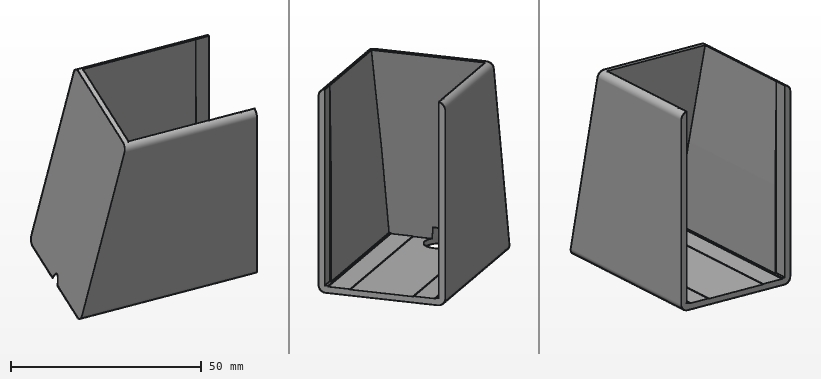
import cadquery as cq
import math

width = 35.3
height = 56.0
bottom_depth = 50.0
top_depth = 37.1
corner_radius = 2.0

cavity_width = 31.7
pad_top_rise = 0.03
pad_rise = 0.45
pad_crest = 26.9
front_wall = 1.45
floor = 1.7
rear_margin = 3.8

ledge_inset = 2.7
ledge_rise = 0.2
channel_inset = 8.85
channel_drop = 0.1

hole_radius = 4.5
breakout_width = 3.3
breakout_apex = 2.45
hole_height = 5.05

front_foot = -bottom_depth / 2
back = bottom_depth / 2
front_top = back - top_depth
front_slope = (front_top - front_foot) / height


def side_profile(offset):
    """Wedge outline in YZ, its front edge moved back by offset."""
    return (
        cq.Workplane("YZ")
        .polyline([
            (front_foot + offset, 0),
            (back, 0),
            (back, height),
            (front_top + offset, height),
        ])
        .close()
    )


def outer_body():
    """Round-cornered block trimmed to the leaning front."""
    block = (
        cq.Workplane("XY")
        .box(width, bottom_depth, height, centered=(True, True, False))
        .edges("|Y")
        .fillet(corner_radius)
    )
    return block.intersect(side_profile(0).extrude(width / 2, both=True))


def mirrored_prism(right_half, near, far):
    """XZ section, symmetric about X = 0, swept between two Y positions."""
    left_half = [(-x, z) for x, z in reversed(right_half)]
    section = cq.Workplane("XZ", origin=(0, near, 0)).polyline(right_half + left_half).close()
    return section.extrude(near - far)


def cavity():
    """Interior, open at the top and back, narrowed by pads on the side walls ahead of the rear margin."""
    side = cavity_width / 2
    pad = side - pad_rise
    ledge = width / 2 - ledge_inset
    channel = width / 2 - channel_inset
    strip_top = floor + channel_drop
    ledge_top = strip_top + ledge_rise

    right_floor = [
        (channel, floor),
        (channel, strip_top),
        (ledge, strip_top),
        (ledge, ledge_top),
    ]
    padded_side = [(pad, ledge_top), (pad, pad_crest), (side - pad_top_rise, height)]
    plain_side = [(side, ledge_top), (side, height)]

    padded = mirrored_prism(right_floor + padded_side, front_foot, back)
    plain = mirrored_prism(right_floor + plain_side, back - rear_margin, back)
    inner_wedge = side_profile(front_wall).extrude(width / 2, both=True)
    return padded.union(plain).intersect(inner_wedge)


def cable_hole():
    """Oblique round cutter that opens a rounded arch at the foot of the front face."""
    protrusion = hole_radius - math.sqrt(hole_radius**2 - (breakout_width / 2) ** 2)
    hole_slope = front_slope + protrusion / breakout_apex
    center = cq.Vector(0, front_foot - protrusion + hole_radius, 0)
    lean = cq.Vector(0, hole_slope * hole_height, hole_height)
    foot = cq.Wire.makeCircle(hole_radius, center, cq.Vector(0, 0, 1))
    return cq.Workplane(obj=cq.Solid.extrudeLinear(foot, [], lean))


result = outer_body().cut(cavity()).cut(cable_hole())